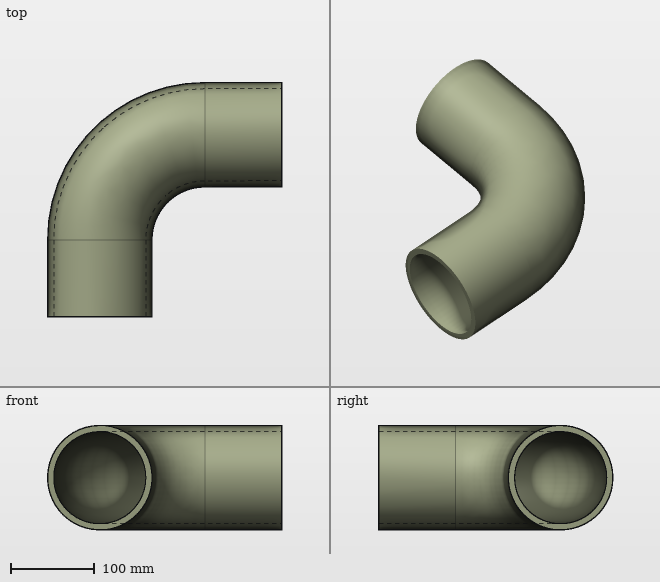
import cadquery as cq

overall_size = 280.5
outer_diameter = 125.0
bore_diameter = 110.2
straight_length = 92.3

bend_radius = overall_size - outer_diameter / 2 - straight_length


def elbow_solid(diameter):
    """Solid elbow: a straight leg along -Y, a quarter bend, a straight leg along +X.

    The bend is centred on the origin and lies in the XY plane.
    """
    leg_y = (
        cq.Workplane("XZ")
        .center(-bend_radius, 0)
        .circle(diameter / 2)
        .extrude(straight_length)
    )
    bend = (
        cq.Workplane("XZ")
        .center(-bend_radius, 0)
        .circle(diameter / 2)
        .revolve(90, (bend_radius, 0), (bend_radius, -1))
    )
    leg_x = (
        cq.Workplane("YZ")
        .center(bend_radius, 0)
        .circle(diameter / 2)
        .extrude(straight_length)
    )
    return leg_y.union(bend).union(leg_x)


result = elbow_solid(outer_diameter).cut(elbow_solid(bore_diameter))